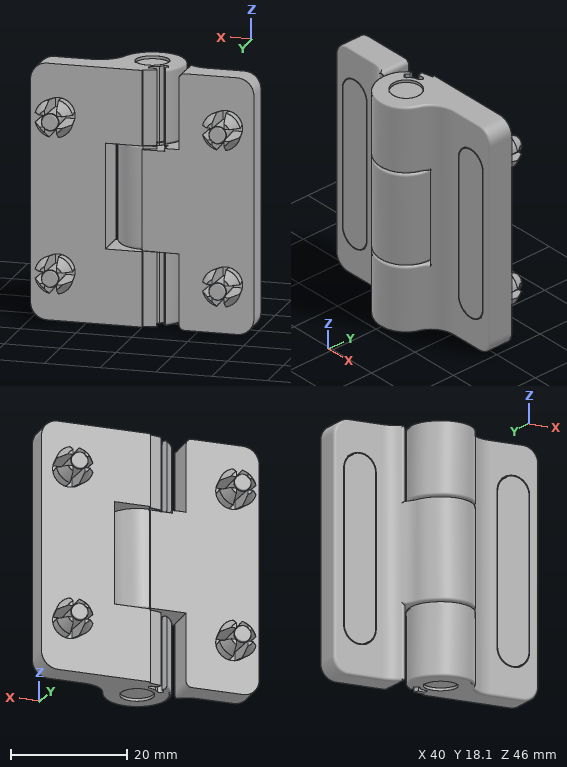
import cadquery as cq
import math


height = 46.0
leaf_width = 20.0
leaf_thickness = 5.0
corner_radius = 3.0
inner_corner_radius = 1.0
edge_radius = 0.5
blend_radius = 5.0

axis_y = -6.55
knuckle_radius = 6.0
middle_knuckle_length = 18.68
end_gap = 0.15
clearance_x = 6.6
pin_radius = 3.0
pin_recess = 0.5

step_depth = 0.5
step_back = (-4.05, 0)
step_front = (-4.05, -2.02)
lip_tip = (-3.73, -1.8)
lip_bulge = (-3.2, -2.8)
front_hollow_start = (-3.73, -3.45)
front_hollow_middle = (-3.5, -3.95)
front_hollow_end = (-2.8, -4.0)
groove_bend = (-2.15, -3.2)
side_hollow_start = (-0.75, -2.7)
side_hollow_middle = (-0.5, -2.3)
side_hollow_end = (-0.9, -1.85)
tongue_underside = (-1.95, -1.95)
tongue_tip = (-2.35, -0.95)
tongue_root = (0, -0.45)

cover_x = 15.0
cover_thickness = 1.0
cover_gap = 0.15
pocket_length = 34.4
pocket_width = 6.4
stud_spacing = 28.0
shank_radius = 3.0
barb_radius = 3.45
barb_y = 2.85
tip_radius = 2.25
tip_y = 5.0
core_radius = 1.43
nub_radius = 1.5
nub_edge_radius = 0.2
stud_length = 5.55
stud_slot_width_root = 1.1
stud_slot_width_tip = 2.1

blend_center_y = -leaf_thickness - blend_radius
blend_center_x = math.sqrt((knuckle_radius + blend_radius) ** 2 - (axis_y - blend_center_y) ** 2)
slot_half = middle_knuckle_length / 2 + end_gap


def leaf_blank(side):
    """Full-height leaf with its knuckle; side is -1 for left and +1 for right."""
    share = knuckle_radius / (knuckle_radius + blend_radius)
    touch = (share * blend_center_x, axis_y + share * (blend_center_y - axis_y))
    touch_angle = math.atan2(touch[1] - blend_center_y, touch[0] - blend_center_x)
    middle_angle = (math.pi / 2 + touch_angle) / 2
    blend_middle = (
        blend_center_x + blend_radius * math.cos(middle_angle),
        blend_center_y + blend_radius * math.sin(middle_angle),
    )
    return (
        cq.Workplane("XY", origin=(0, 0, -height / 2))
        .moveTo(0, 0)
        .lineTo(side * leaf_width, 0)
        .lineTo(side * leaf_width, -leaf_thickness)
        .lineTo(side * blend_center_x, -leaf_thickness)
        .threePointArc((side * blend_middle[0], blend_middle[1]), (side * touch[0], touch[1]))
        .threePointArc((-side * knuckle_radius, axis_y), (0, axis_y + knuckle_radius))
        .close()
        .extrude(height)
        .edges("|Y")
        .edges(">X" if side > 0 else "<X")
        .fillet(corner_radius)
    )


def clearance(x_low, x_high, z_low, z_high):
    """Block through the whole depth of the leaves."""
    depth = -2 * axis_y + 2 * knuckle_radius
    return cq.Workplane("XY").box(x_high - x_low, depth, z_high - z_low).translate(
        ((x_low + x_high) / 2, axis_y, (z_low + z_high) / 2)
    )


def groove(z_low, z_high):
    """Hooked groove in the back of the knuckles."""
    return (
        cq.Workplane("XY", origin=(0, 0, z_low))
        .moveTo(*step_back)
        .lineTo(*step_front)
        .lineTo(*lip_tip)
        .lineTo(*lip_bulge)
        .lineTo(*front_hollow_start)
        .threePointArc(front_hollow_middle, front_hollow_end)
        .lineTo(*groove_bend)
        .lineTo(*side_hollow_start)
        .threePointArc(side_hollow_middle, side_hollow_end)
        .lineTo(*tongue_underside)
        .lineTo(*tongue_tip)
        .lineTo(*tongue_root)
        .lineTo(0, 0)
        .close()
        .extrude(z_high - z_low)
    )


def tongue(z_low, z_high):
    """Square-edged lip that overhangs the groove, filling the knuckle rim's rounding there."""
    return (
        cq.Workplane("XY", origin=(0, 0, z_low))
        .polyline([tongue_root, tongue_tip, tongue_underside, (0, tongue_underside[1])])
        .close()
        .extrude(z_high - z_low)
    )


def pin_bore():
    """Bore for the pin through all knuckles."""
    return (
        cq.Workplane("XY", origin=(0, axis_y, -height / 2))
        .circle(pin_radius)
        .extrude(height)
    )


def cover_seat(side):
    """Oval pocket in the leaf front with two through holes for the studs."""
    pocket = (
        cq.Workplane("XZ", origin=(side * cover_x, -leaf_thickness + cover_thickness, 0))
        .slot2D(pocket_length, pocket_width, 90)
        .extrude(cover_thickness)
    )
    holes = (
        cq.Workplane("XZ", origin=(side * cover_x, 0, 0))
        .pushPoints([(0, -stud_spacing / 2), (0, stud_spacing / 2)])
        .circle(shank_radius)
        .extrude(leaf_thickness)
    )
    return pocket.union(holes)


def round_front(leaf, rounded_sides):
    """Round the front outline and knuckle rims; along Z only the edges at the given X are rounded."""
    def is_front(edge):
        along_z = abs(edge.tangentAt(0).z) > 0.999 and edge.geomType() == "LINE"
        middle = edge.Center()
        at_side = any(math.isclose(middle.x, x, abs_tol=0.005) for x in rounded_sides)
        return middle.y < -leaf_thickness / 2 and (at_side or not along_z)

    return leaf.edges("not(|Y)").filter(is_front).fillet(edge_radius)


def left_wing():
    """Flat part of the left leaf, ending beside the end knuckles with two small rounded corners."""
    wing = leaf_blank(-1).cut(clearance(-clearance_x, leaf_width, -height, height))
    wing = round_front(wing, (-leaf_width, -clearance_x))
    rounded_outline = (
        clearance(-leaf_width, -clearance_x, -height / 2, height / 2)
        .edges("|Y")
        .edges(">X")
        .fillet(inner_corner_radius)
    )
    return wing.intersect(rounded_outline)


def middle_knuckle():
    """Knuckle of the left leaf with the web that runs into the wing."""
    knuckle_top = middle_knuckle_length / 2
    knuckle = (
        leaf_blank(-1)
        .cut(clearance(-leaf_width, -blend_center_x, -height, height))
        .cut(clearance(-leaf_width, leaf_width, knuckle_top, height))
        .cut(clearance(-leaf_width, leaf_width, -height, -knuckle_top))
    )
    return round_front(knuckle, ()).cut(groove(knuckle_top - step_depth, knuckle_top))


def make_left_leaf():
    return left_wing().union(middle_knuckle()).cut(pin_bore()).cut(cover_seat(-1))


def make_right_leaf():
    leaf = leaf_blank(1).cut(clearance(-leaf_width, clearance_x, -slot_half, slot_half))
    leaf = round_front(leaf, (leaf_width,))
    leaf = leaf.union(tongue(slot_half, height / 2)).union(tongue(-height / 2, -slot_half))
    return leaf.cut(groove(-height / 2, height / 2)).cut(pin_bore()).cut(cover_seat(1))


def make_pin():
    length = height - 2 * pin_recess
    return (
        cq.Workplane("XY", origin=(0, axis_y, -length / 2))
        .circle(pin_radius)
        .extrude(length)
    )


def stud_slot():
    """Tapered slot across the stud, widening towards the tip, open along Z."""
    return (
        cq.Workplane("XY", origin=(0, 0, -barb_radius))
        .polyline(
            [
                (-stud_slot_width_root / 2, 0),
                (stud_slot_width_root / 2, 0),
                (stud_slot_width_tip / 2, tip_y),
                (-stud_slot_width_tip / 2, tip_y),
            ]
        )
        .close()
        .extrude(2 * barb_radius)
    )


def make_stud():
    """Shank through the leaf, four barbed fingers behind it, a core between them and an end nub."""
    fingers = (
        cq.Workplane("XY")
        .polyline(
            [
                (0, cover_thickness - leaf_thickness),
                (shank_radius, cover_thickness - leaf_thickness),
                (shank_radius, 0),
                (barb_radius, barb_y),
                (tip_radius, tip_y),
                (0, tip_y),
            ]
        )
        .close()
        .revolve(360, (0, 0, 0), (0, 1, 0))
        .cut(stud_slot())
        .cut(stud_slot().rotate((0, 0, 0), (0, 1, 0), 90))
    )
    core = cq.Workplane("XZ").circle(core_radius).extrude(-tip_y)
    nub = (
        cq.Workplane("XZ", origin=(0, tip_y, 0))
        .circle(nub_radius)
        .extrude(tip_y - stud_length)
        .faces(">Y")
        .edges()
        .fillet(nub_edge_radius)
    )
    return fingers.union(core).union(nub)


def make_cover(side):
    """Oval cover flush with the leaf front, with two studs reaching out behind the leaf."""
    cover = (
        cq.Workplane("XZ", origin=(side * cover_x, cover_thickness - leaf_thickness, 0))
        .slot2D(pocket_length - 2 * cover_gap, pocket_width - 2 * cover_gap, 90)
        .extrude(cover_thickness)
    )
    for z in (-stud_spacing / 2, stud_spacing / 2):
        cover = cover.union(make_stud().translate((side * cover_x, 0, z)))
    return cover


left_leaf = make_left_leaf()
right_leaf = make_right_leaf()
pin = make_pin()
covers = [make_cover(side) for side in (-1, 1)]

result = cq.Compound.makeCompound(
    [left_leaf.val(), right_leaf.val(), pin.val(), *[cover.val() for cover in covers]]
)